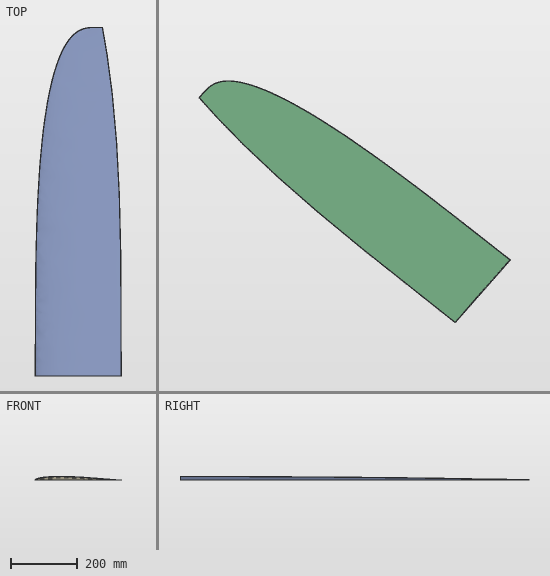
import cadquery as cq

SPAN = 1048.0
ROOT_CHORD = 259.0
LEADING_SWEEP = 180.0
LEADING_POWER = 3.3
LEADING_ROUNDNESS = 0.38
TRAILING_SWEEP = 57.0
TRAILING_POWER = 3.5

ROOT_THICKNESS = 12.0
TIP_THICKNESS = 1.6
THICKNESS_POWER = 2.0
NOSE_POWER = 0.5
TAIL_POWER = 1.2

SPAN_STEPS = 24
CHORD_STEPS = 20
TIP_CROWDING = 2.6
NOSE_CROWDING = 2.0
SURFACE_TOLERANCE = 0.002
MAX_DEGREE = 5


def leading_edge(station):
    """X of the leading edge at a fraction of the span."""
    return LEADING_SWEEP * (1 - (1 - station**LEADING_POWER) ** LEADING_ROUNDNESS)


def trailing_edge(station):
    """X of the trailing edge at a fraction of the span."""
    return ROOT_CHORD - TRAILING_SWEEP * station**TRAILING_POWER


def camber_shape(position):
    """Unscaled airfoil height at a fraction of the chord."""
    return position**NOSE_POWER * (1 - position) ** TAIL_POWER


CREST_POSITION = NOSE_POWER / (NOSE_POWER + TAIL_POWER)
CREST_HEIGHT = camber_shape(CREST_POSITION)


def upper_point(station, position):
    """Point of the upper surface at fractions of the span and the chord."""
    nose = leading_edge(station)
    chord = trailing_edge(station) - nose
    taper = (ROOT_THICKNESS - TIP_THICKNESS) * station**THICKNESS_POWER
    height = (ROOT_THICKNESS - taper) * camber_shape(position) / CREST_HEIGHT
    return cq.Vector(nose + chord * position, SPAN * station, height)


def edge_between(face, start, end):
    """Boundary edge of a face whose middle lies nearest the middle of two points."""
    middle = (start + end) * 0.5
    return min(face.Edges(), key=lambda edge: (edge.positionAt(0.5) - middle).Length)


stations = [1 - (1 - i / SPAN_STEPS) ** TIP_CROWDING for i in range(SPAN_STEPS + 1)]
positions = [(j / CHORD_STEPS) ** NOSE_CROWDING for j in range(CHORD_STEPS + 1)]
grid = [[upper_point(station, position) for position in positions] for station in stations]
upper = cq.Face.makeSplineApprox(grid, tol=SURFACE_TOLERANCE, maxDeg=MAX_DEGREE)

root_nose = grid[0][0]
root_tail = grid[0][-1]
tip_nose = grid[-1][0]
tip_tail = grid[-1][-1]
root_line = cq.Edge.makeLine(root_nose, root_tail)
tip_line = cq.Edge.makeLine(tip_nose, tip_tail)

leading = edge_between(upper, root_nose, tip_nose)
trailing = edge_between(upper, root_tail, tip_tail)
root_curve = edge_between(upper, root_nose, root_tail)
tip_curve = edge_between(upper, tip_nose, tip_tail)


def flat_face(*edges):
    """Planar face bounded by connected edges."""
    return cq.Face.makeFromWires(cq.Wire.assembleEdges(edges))


bottom = flat_face(root_line, trailing, tip_line, leading)
root_face = flat_face(root_line, root_curve)
tip_face = flat_face(tip_line, tip_curve)
blade = cq.Solid.makeSolid(cq.Shell.makeShell([upper, bottom, root_face, tip_face])).fix()
result = cq.Workplane("XY").newObject([blade])